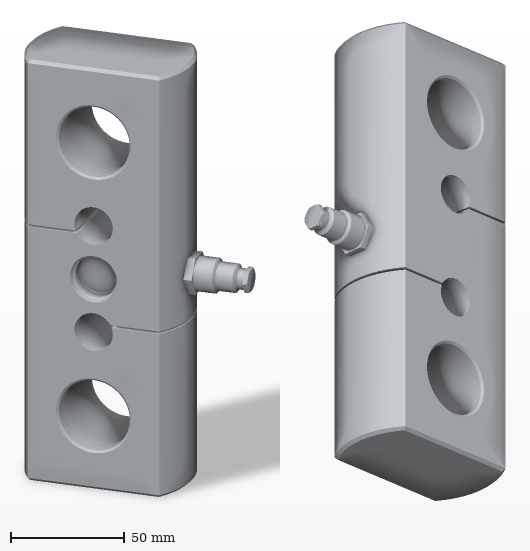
import cadquery as cq
import math

block_height = 200.0
block_depth = 45.0
block_radius = 38.2
rim_chamfer = 1.5

bore_diameter = 33.2
bore_offset = 65.0
bore_chamfer = 1.0

relief_diameter = 18.0
relief_offset = 25.2
slit_offset = 21.5
slit_width = 1.2

pocket_mouth_radius = 11.0
pocket_neck_radius = 10.5
pocket_neck_depth = 2.2
pocket_wall_radius = 9.8
pocket_depth = 8.0
pocket_bevel = 0.5

nut_width = 17.0
nut_start = 37.5
nut_end = 41.5
shell_radius = 8.0
shell_end = 50.2
sleeve_radius = 6.5
sleeve_start = 51.2
sleeve_end = 59.5
neck_radius = 4.8
neck_start = 60.5
tip_start = 63.8
tip_end = 66.0
tip_width = 10.5
tip_chamfer = 0.5


def round_bar():
    """The full cylinder that the block is cut from."""
    return cq.Workplane("XY").circle(block_radius).extrude(block_height / 2, both=True)


def cross_hole(diameter, z):
    """Cutter for a hole along Y, right through the block."""
    hole = cq.Workplane("XZ").center(0, z).circle(diameter / 2)
    return hole.extrude(block_depth, both=True)


def bore_countersink(z, side):
    """Cone that chamfers a bore's rim on the flat facing side * Y."""
    large = bore_diameter / 2 + bore_chamfer
    small = bore_diameter / 2
    return cq.Workplane(cq.Solid.makeCone(
        large, small, bore_chamfer,
        pnt=cq.Vector(0, side * block_depth / 2, z), dir=cq.Vector(0, -side, 0)))


def slit(side):
    """Cutter from a relief hole's axis out past the side facing side * X."""
    length = 2 * block_radius
    return (cq.Workplane("XY").box(length, 2 * block_depth, slit_width)
            .translate((side * length / 2, 0, -side * slit_offset)))


def pocket():
    """Cutter for the pocket: tapered mouth, straight wall and bevelled floor."""
    mouth = -block_depth / 2
    floor = mouth + pocket_depth
    wall_start = mouth + pocket_neck_depth + pocket_bevel
    return (
        cq.Workplane("XY")
        .moveTo(0, mouth)
        .lineTo(pocket_mouth_radius, mouth)
        .lineTo(pocket_neck_radius, mouth + pocket_neck_depth)
        .lineTo(pocket_wall_radius, wall_start)
        .lineTo(pocket_wall_radius, floor - pocket_bevel)
        .lineTo(pocket_wall_radius - pocket_bevel, floor)
        .lineTo(0, floor)
        .close()
        .revolve(360, (0, 0, 0), (0, 1, 0))
    )


def hexagon(width, start, end):
    """Hexagonal prism along X with corners on the Y axis and flats facing Z."""
    across_corners = width / math.cos(math.pi / 6)
    return cq.Workplane("YZ", origin=(start, 0, 0)).polygon(6, across_corners).extrude(end - start)


def nut():
    """Hexagonal nut whose flat base sinks slightly into the crown of the +X side."""
    return hexagon(nut_width, nut_start, nut_end)


def make_block():
    flats = cq.Workplane("XY").box(2 * block_radius, block_depth, block_height)
    block = round_bar().intersect(flats).faces("<Z or >Z").edges().chamfer(rim_chamfer)
    for side in (-1, 1):
        z = side * bore_offset
        block = block.cut(cross_hole(bore_diameter, z))
        for face in (-1, 1):
            block = block.cut(bore_countersink(z, face))
        block = block.cut(cross_hole(relief_diameter, side * relief_offset))
        block = block.cut(slit(side))
    return block.cut(pocket()).cut(nut())


def barrel():
    """Round stepped barrel: shell, sleeve and neck, joined by tapers."""
    return (
        cq.Workplane("XY")
        .moveTo(nut_end, 0)
        .lineTo(nut_end, shell_radius)
        .lineTo(shell_end, shell_radius)
        .lineTo(sleeve_start, sleeve_radius)
        .lineTo(sleeve_end, sleeve_radius)
        .lineTo(neck_start, neck_radius)
        .lineTo(tip_start, neck_radius)
        .lineTo(tip_start, 0)
        .close()
        .revolve(360, (0, 0, 0), (1, 0, 0))
    )


def tip():
    """Hexagonal tip whose corners are turned to a conical chamfer at the end."""
    tip_radius = tip_width / 2 / math.cos(math.pi / 6)
    turned_tip = (cq.Workplane("YZ", origin=(tip_start, 0, 0)).circle(tip_radius)
                  .extrude(tip_end - tip_start).faces(">X").chamfer(tip_chamfer))
    return hexagon(tip_width, tip_start, tip_end).intersect(turned_tip)


def make_connector():
    return nut().union(barrel()).union(tip())


block = make_block()
connector = make_connector()

result = cq.Compound.makeCompound([block.val(), connector.val()])